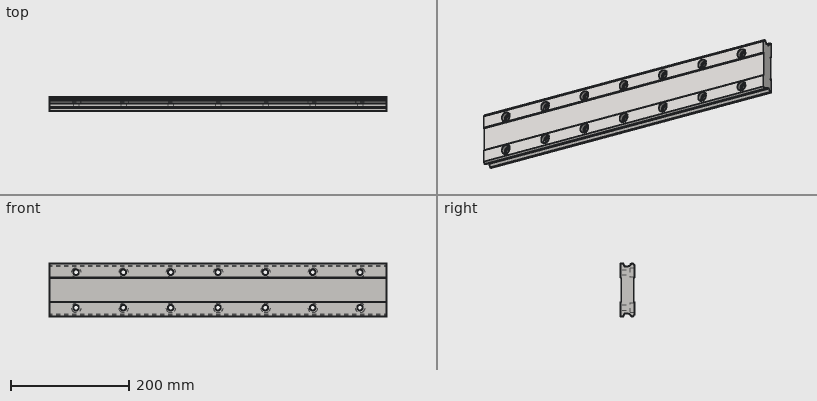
import cadquery as cq
import math

length = 570.0
thickness = 24.0
height = 90.0

groove_depth = 5.0
front_lip = 4.5
front_flank = 3.0
back_lip = 5.0
ledge_depth = 1.0
ledge_width = 1.0
seat_radius = 3.5
seat_land = 0.5
step_slant = 0.5

back_bevel_thickness = 3.0
back_bevel_height = 3.5
front_bevel = 0.85

relief_height = 40.0
relief_depth = 1.0

hole_diameter = 9.0
counterbore_diameter = 16.0
counterbore_depth = 8.5
hole_columns = 7
hole_end_distance = 45.0
hole_pitch_x = (length - 2 * hole_end_distance) / (hole_columns - 1)
hole_pitch_z = 60.0

front = -thickness / 2
back = thickness / 2
top = height / 2


def upper_half():
    """Half of the rail above the mid-plane, extruded from its Y-Z section."""
    half_relief = relief_height / 2
    relief_edge = half_relief + relief_depth
    floor = top - groove_depth

    groove_front = front + front_lip
    groove_back = back - back_lip
    ledge_back = groove_back - step_slant
    ledge = top - ledge_depth

    seat_back = ledge_back - ledge_width
    seat_center = seat_back - seat_radius
    seat_bottom = ledge - seat_radius
    land_front = seat_center - seat_land
    seat_offset = seat_radius * math.sqrt(0.5)

    return (
        cq.Workplane("YZ", origin=(-length / 2, 0, 0))
        .moveTo(front + relief_depth, 0)
        .lineTo(front + relief_depth, half_relief)
        .lineTo(front, relief_edge)
        .lineTo(front, top - front_bevel)
        .lineTo(front + front_bevel, top)
        .lineTo(groove_front, top)
        .lineTo(groove_front + front_flank, floor)
        .lineTo(land_front - step_slant, floor)
        .lineTo(land_front, seat_bottom)
        .lineTo(seat_center, seat_bottom)
        .threePointArc((seat_center + seat_offset, ledge - seat_offset), (seat_back, ledge))
        .lineTo(ledge_back, ledge)
        .lineTo(groove_back, top)
        .lineTo(back - back_bevel_thickness, top)
        .lineTo(back, top - back_bevel_height)
        .lineTo(back, relief_edge)
        .lineTo(back - relief_depth, half_relief)
        .lineTo(back - relief_depth, 0)
        .close()
        .extrude(length)
    )


def hole_pattern(diameter, depth):
    """Cylinders for both rows of holes, running forward from the rear face."""
    return (
        cq.Workplane("XZ", origin=(0, back, 0))
        .rarray(hole_pitch_x, hole_pitch_z, hole_columns, 2)
        .circle(diameter / 2)
        .extrude(depth)
    )


half = upper_half()
rail = half.union(half.mirror("XY")).clean()
result = (
    rail
    .cut(hole_pattern(hole_diameter, thickness))
    .cut(hole_pattern(counterbore_diameter, counterbore_depth))
)